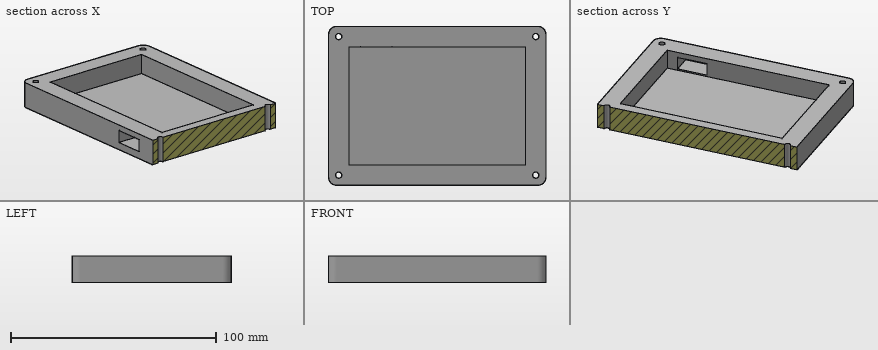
import cadquery as cq

LENGTH = 106.0
WIDTH = 77.5
HEIGHT = 13.0
CORNER_RADIUS = 4.0

WALL = 10.0
FLOOR = 3.0
POCKET_LENGTH = LENGTH - 2 * WALL
POCKET_WIDTH = WIDTH - 2 * WALL

HOLE_DIAMETER = 2.9
HOLE_INSET = 5.0

PORT_LENGTH = 15.5
PORT_HEIGHT = 6.3
PORT_SILL = 0.8
PORT_END_GAP = 5.5


def make_body():
    """Solid block standing on Z = 0 with rounded vertical corners."""
    block = cq.Workplane("XY").box(LENGTH, WIDTH, HEIGHT, centered=(True, True, False))
    return block.edges("|Z").fillet(CORNER_RADIUS)


def make_pocket():
    """Space of the pocket, from its floor to the top of the body."""
    depth = HEIGHT - FLOOR
    pocket = cq.Workplane("XY").box(POCKET_LENGTH, POCKET_WIDTH, depth, centered=(True, True, False))
    return pocket.translate((0, 0, FLOOR))


def make_screw_holes():
    """Four through holes, one in each corner."""
    spacing_x = LENGTH - 2 * HOLE_INSET
    spacing_y = WIDTH - 2 * HOLE_INSET
    corners = cq.Workplane("XY").rect(spacing_x, spacing_y, forConstruction=True).vertices()
    return corners.circle(HOLE_DIAMETER / 2).extrude(HEIGHT)


def make_port():
    """Rectangular opening from the pocket through the +Y wall."""
    start_x = -POCKET_LENGTH / 2 + PORT_END_GAP
    port = cq.Workplane("XY").box(PORT_LENGTH, WALL, PORT_HEIGHT, centered=False)
    return port.translate((start_x, POCKET_WIDTH / 2, FLOOR + PORT_SILL))


result = make_body().cut(make_pocket()).cut(make_screw_holes()).cut(make_port())